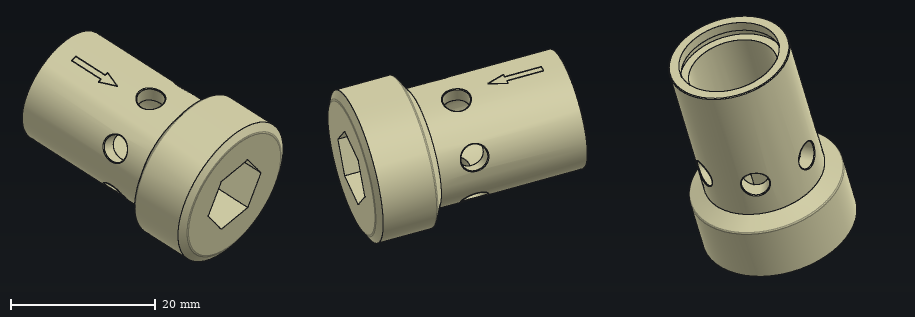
import cadquery as cq
import math

length = 31.75
body_diameter = 17.27
head_diameter = 22.1
head_start = 21.6
cone_angle = 60.0
rear_bevel_length = 0.73
mouth_edge_break = 0.13
head_edge_radius = 0.25
rear_edge_radius = 0.48

mouth_diameter = 14.3
groove_diameter = 15.18
groove_start = 1.43
groove_end = 2.5
bore_diameter = 12.7
bore_end = 23.3
hex_sides = 6
hex_across_flats = 9.6

hole_count = 6
hole_diameter = 3.9
hole_rim_chamfer = 0.13
hole_position = 16.3

arrow_tail = 3.18
arrow_shoulder = 8.57
arrow_tip = 11.2
arrow_center = -1.27
arrow_shaft_width = 0.9
arrow_head_width = 1.97
arrow_depth = 0.1

selection_thickness = 0.65


def box_across_axis(position, width):
    """Selector for what is centred in a thin square box across the axis."""
    half_width = width / 2
    half_thickness = selection_thickness / 2
    return cq.selectors.BoxSelector(
        (position - half_thickness, -half_width, -half_width),
        (position + half_thickness, half_width, half_width),
    )


def bore_section(diameter, start, end):
    """Cylinder on the X axis between two positions."""
    return cq.Workplane("YZ").workplane(offset=start).circle(diameter / 2).extrude(end - start)


def outer_body():
    """Solid turned body: sleeve, conical shoulder, head and rear bevel."""
    body_radius = body_diameter / 2
    head_radius = head_diameter / 2
    slope = math.tan(math.radians(cone_angle))
    shoulder_end = head_start + (head_radius - body_radius) / slope
    rear_radius = head_radius - rear_bevel_length * slope
    turned = (
        cq.Workplane("XY")
        .moveTo(0, 0)
        .lineTo(0, body_radius)
        .lineTo(head_start, body_radius)
        .lineTo(shoulder_end, head_radius)
        .lineTo(length - rear_bevel_length, head_radius)
        .lineTo(length, rear_radius)
        .lineTo(length, 0)
        .close()
        .revolve(360, (0, 0, 0), (1, 0, 0))
    )
    turned = turned.faces("<X").edges().chamfer(mouth_edge_break)
    turned = turned.faces(">X").edges().fillet(rear_edge_radius)
    shoulder_edge = box_across_axis(shoulder_end, body_diameter)
    return turned.edges(shoulder_edge).fillet(head_edge_radius)


def stepped_bore():
    """Mouth, groove against the inner shoulder, main bore and hexagon socket."""
    hex_across_corners = hex_across_flats / math.cos(math.pi / hex_sides)
    hexagon = cq.Workplane("YZ").polygon(hex_sides, hex_across_corners).extrude(length)
    return (
        hexagon
        .union(bore_section(bore_diameter, 0, bore_end))
        .union(bore_section(groove_diameter, groove_start, groove_end))
        .union(bore_section(mouth_diameter, 0, groove_end))
    )


def radial_hole(angle):
    """Hole from the axis out through the wall at the given angle from the top."""
    hole = (
        cq.Workplane("XY")
        .center(hole_position, 0)
        .circle(hole_diameter / 2)
        .extrude(body_diameter)
    )
    return hole.rotate((0, 0, 0), (1, 0, 0), angle)


def drilled_body():
    """Outer body with the ring of radial holes and their chamfered rims."""
    body = outer_body()
    for index in range(hole_count):
        body = body.cut(radial_hole(index * 360 / hole_count))
    rims = box_across_axis(hole_position, body_diameter) - box_across_axis(hole_position, bore_diameter)
    return body.edges(rims).chamfer(hole_rim_chamfer)


def arrow_engraving():
    """Arrow-shaped cutter that follows the curve of the body."""
    half_shaft = arrow_shaft_width / 2
    half_head = arrow_head_width / 2
    outline = [
        (arrow_tail, -half_shaft),
        (arrow_shoulder, -half_shaft),
        (arrow_shoulder, -half_head),
        (arrow_tip, 0),
        (arrow_shoulder, half_head),
        (arrow_shoulder, half_shaft),
        (arrow_tail, half_shaft),
    ]
    prism = (
        cq.Workplane("XY", origin=(0, arrow_center, 0))
        .polyline(outline)
        .close()
        .extrude(body_diameter)
    )
    return prism.cut(bore_section(body_diameter - 2 * arrow_depth, 0, head_start))


result = drilled_body().cut(stepped_bore()).cut(arrow_engraving())